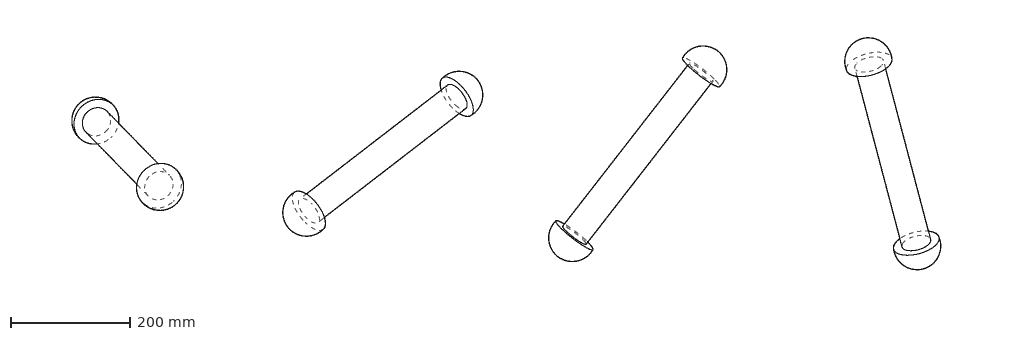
import cadquery as cq
import math

total_length = 441.0
shank_diameter = 50.0
shank_length = 349.5
head_diameter = 80.0

head_radius = head_diameter / 2
head_height = (total_length - shank_length) / 2
inner_face_x = shank_length / 2
end_x = total_length / 2
sphere_center_x = end_x - head_radius
face_radius = math.sqrt(head_radius**2 - (head_height - head_radius) ** 2)


def make_head():
    """Solid dome at the +X end: a sphere cut flat on the shank side."""
    arc_middle = (
        sphere_center_x + head_radius * math.cos(math.pi / 4),
        head_radius * math.sin(math.pi / 4),
    )
    return (
        cq.Workplane("XY")
        .moveTo(inner_face_x, 0)
        .lineTo(inner_face_x, face_radius)
        .threePointArc(arc_middle, (end_x, 0))
        .close()
        .revolve(360, (0, 0, 0), (1, 0, 0))
    )


shank = cq.Workplane("YZ").circle(shank_diameter / 2).extrude(inner_face_x, both=True)
head = make_head()
result = shank.union(head).union(head.mirror("YZ"))